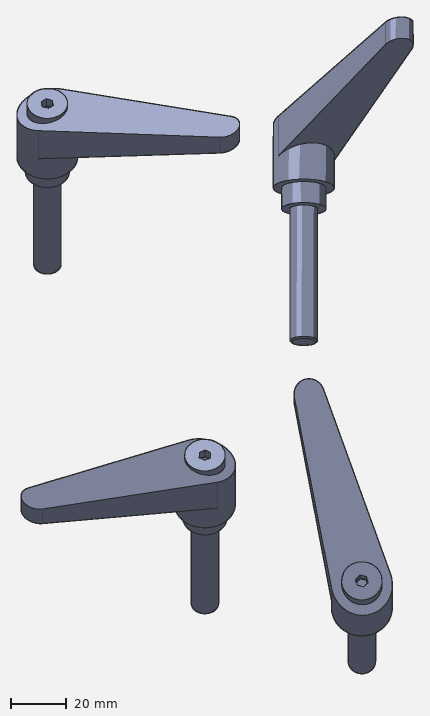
import cadquery as cq
import math


hub_diameter = 22.0
tip_radius = 5.5
arm_reach = 74.0
tip_height = 44.8
tip_thickness = 8.0
top_angle = 15.0
underside_angle = 20.0

head_diameter = 14.6
head_top = 28.2
hex_across_flats = 4.0
hex_depth = 4.0
drill_point_angle = 120.0

collar_diameter = 16.0
collar_length = 7.9
stud_diameter = 10.0
stud_length = 50.0
stud_chamfer = 0.6

hub_radius = hub_diameter / 2
tip_center = arm_reach - tip_radius
top_slope = math.tan(math.radians(top_angle))
underside_slope = math.tan(math.radians(underside_angle))

tangent_cos = (hub_radius - tip_radius) / tip_center
tangent_sin = math.sqrt(1 - tangent_cos**2)


def top_z(x):
    """Height of the sloping upper face at x."""
    return tip_height - (arm_reach - x) * top_slope


def underside_z(x):
    """Height of the sloping lower face of the arm at x."""
    return tip_height - tip_thickness - (arm_reach - x) * underside_slope


def side_profile(points):
    """Prism of an XZ outline, as wide in Y as the hub."""
    return cq.Workplane("XZ").polyline(points).close().extrude(hub_radius, both=True)


def make_hub():
    """Round hub cut off by the sloping upper face."""
    cylinder = cq.Workplane("XY").circle(hub_radius).extrude(tip_height)
    envelope = side_profile([
        (-hub_radius, 0),
        (hub_radius, 0),
        (hub_radius, top_z(hub_radius)),
        (-hub_radius, top_z(-hub_radius)),
    ])
    return cylinder.intersect(envelope)


def make_arm():
    """Tapered arm with a rounded end, starting where its sides leave the hub."""
    root_x = hub_radius * tangent_cos
    root_y = hub_radius * tangent_sin
    end_x = tip_center + tip_radius * tangent_cos
    end_y = tip_radius * tangent_sin
    plan = (
        cq.Workplane("XY")
        .moveTo(root_x, -root_y)
        .lineTo(end_x, -end_y)
        .threePointArc((arm_reach, 0), (end_x, end_y))
        .lineTo(root_x, root_y)
        .close()
        .extrude(tip_height)
    )
    envelope = side_profile([
        (root_x, underside_z(root_x)),
        (arm_reach, underside_z(arm_reach)),
        (arm_reach, top_z(arm_reach)),
        (root_x, top_z(root_x)),
    ])
    return plan.intersect(envelope)


def make_screw_head():
    return cq.Workplane("XY").circle(head_diameter / 2).extrude(head_top)


def make_hex_socket():
    """Hexagonal socket, corners along X, ending in a drill-point cone."""
    corner_radius = hex_across_flats / math.sqrt(3)
    cone_depth = corner_radius / math.tan(math.radians(drill_point_angle / 2))
    floor_z = head_top - hex_depth
    hexagon = (
        cq.Workplane("XY", origin=(0, 0, floor_z))
        .polygon(6, 2 * corner_radius)
        .extrude(hex_depth)
    )
    cone = (
        cq.Workplane("XZ")
        .polyline([(0, floor_z), (corner_radius, floor_z), (0, floor_z - cone_depth)])
        .close()
        .revolve(360, (0, 0), (0, 1))
    )
    return hexagon.union(cone)


def make_collar():
    return cq.Workplane("XY").circle(collar_diameter / 2).extrude(-collar_length)


def make_stud():
    """Stud below the collar with a chamfered end."""
    stud = (
        cq.Workplane("XY", origin=(0, 0, -collar_length))
        .circle(stud_diameter / 2)
        .extrude(-stud_length)
    )
    return stud.faces("<Z").chamfer(stud_chamfer)


result = (
    make_hub()
    .union(make_arm())
    .union(make_screw_head())
    .union(make_collar())
    .union(make_stud())
    .cut(make_hex_socket())
)